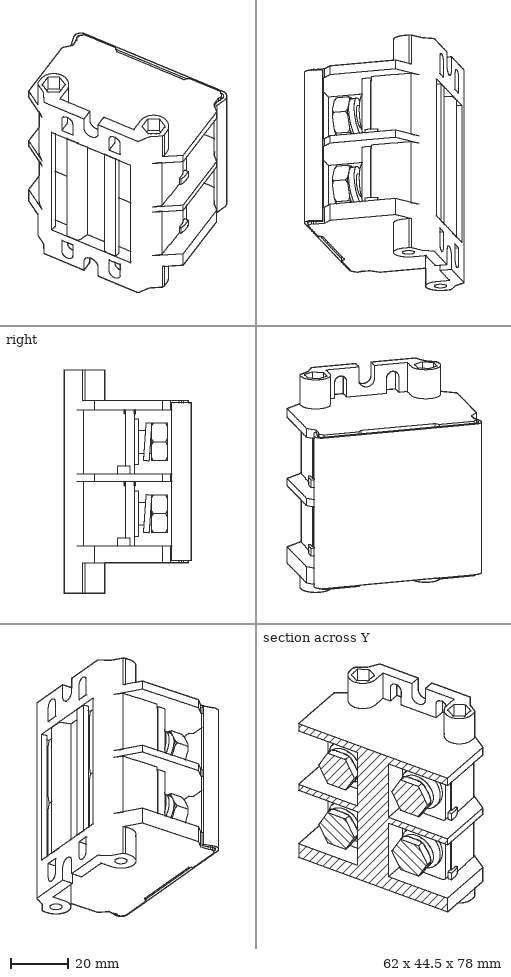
import cadquery as cq
import math

LENGTH = 78.0
HALF_WIDTH = 31.0
COVER_TOP = 44.5

WALL_END = 28.35
TOP_WALL_INNER = 25.1
MID_WALL_BOTTOM = 0.0
MID_WALL_TOP = 2.7
BOTTOM_WALL_INNER = -22.4
POLE_FLOORS = (BOTTOM_WALL_INNER, MID_WALL_TOP)
POLE_HEIGHT = TOP_WALL_INNER - MID_WALL_TOP

FOOT_THICKNESS = 4.2
TOE_X = 18.9
KNEE = (21.2, 3.9)
KNEE_RADIUS = 1.8
TOE_RADIUS = 0.7
SHOULDER_Y = 10.6
FLANK_SLOPE = (SHOULDER_Y - KNEE[1]) / (HALF_WIDTH - KNEE[0])
CORE_HALF = 24.7
FOOT_SHOULDER_X = 22.2
CORE_FLANK_RECESS = 0.5
CORE_STEP = 0.2
CORE_STEP_LOW, CORE_STEP_HIGH = 11.8, 12.6
SPINE_HALF = 6.5

WALL_CORNER_Y = 34.3
NECK_HALF = 28.35
NECK_Y = 37.1
BEAD_HALF = 28.75
BEAD_LOW, BEAD_MID, BEAD_HIGH = 40.2, 41.0, 41.8
WALL_TOP_HALF = 27.4
RECESS_TOP_HALF = 14.7
RECESS_FLOOR_HALF = 13.5
RECESS_FLOOR_Y = 42.0

COVER_THICKNESS = 1.1
COVER_HALF_LENGTH = 27.6
COVER_UNDERSIDE = COVER_TOP - COVER_THICKNESS
COVER_HALF = 30.4
COVER_BEND_RADIUS = 2.6
HOOK_LEAN = math.radians(16)
HOOK_TIP_Y = 37.6

POST_X = 20.05
POST_Y = 9.0
POST_FLANK_END_X = 25.0
POST_BEND_Y = 7.3
POST_RADIUS = 5.25
POST_HOLE_DIAMETER = 4.2
NUT_ACROSS_FLATS = 7.0
NUT_POCKET_DEPTH = 6.0

NOTCH_WIDTH = 5.6
NOTCH_DEPTH = 7.6
SLOT_WIDTH = 4.4
SLOT_X = 9.5
SLOT_TOP = 36.2
WINDOW_HALF = 15.9
WINDOW_THROAT_HALF = 15.4
WINDOW_LIP = 2.0
UNDERCUT_INNER, UNDERCUT_OUTER = 7.5, 18.0

RAIL_RECESS = 0.15
RAIL_OUTER_TIP, RAIL_OUTER_ROOT = 9.8, 10.1
RAIL_INNER_TIP, RAIL_INNER_SHOULDER, RAIL_INNER_ROOT = 6.2, 4.6, 3.75
RAIL_EDGE_HEIGHT = 1.6

GROOVE_HALF = 3.0
GROOVE_DEPTH = 0.5

BAR_BOTTOM, BAR_TOP = 21.4, 24.6
BAR_HALF = 24.5
BAR_CORNER = 1.2
RELIEF_WIDTH = 0.35
RELIEF_HEIGHT = 1.4
SCREW_X = 15.2
SCREW_DIAMETER = 8.0
HEAD_ACROSS_FLATS = 13.0
HEAD_BOTTOM, HEAD_TOP = 30.5, 36.1
HEAD_CHAMFER = 0.6
FLAT_WASHER_DIAMETER, FLAT_WASHER_THICKNESS = 16.0, 1.4
SPRING_WASHER_DIAMETER, SPRING_WASHER_THICKNESS = 13.2, 2.0
SPRING_WASHER_MID = 29.2
SPRING_WASHER_TILT = 4.0

STOP_OUTER, STOP_SHOULDER = 26.0, 25.5
STOP_HIGH, STOP_MID, STOP_LOW = 23.1, 20.4, 18.6
STOP_HEIGHT = 2.8


def flank_y(x):
    """Height of the sloping flank at a given distance from the centre plane."""
    return KNEE[1] + FLANK_SLOPE * (x - KNEE[0])


def symmetric_prism(half_outline, z_low, z_high):
    """Extrude the +X half outline together with its mirror image."""
    mirrored = [(-x, y) for x, y in reversed(half_outline)]
    sketch = cq.Workplane("XY").workplane(offset=z_low).polyline(half_outline + mirrored).close()
    return sketch.extrude(z_high - z_low)


def box(x_range, y_range, z_range):
    """Axis-aligned box from its limits."""
    corner = (x_range[0], y_range[0], z_range[0])
    size = [high - low for low, high in (x_range, y_range, z_range)]
    return cq.Workplane("XY").box(*size, centered=False).translate(corner)


def fuse(parts):
    merged = parts[0]
    for part in parts[1:]:
        merged = merged.union(part)
    return merged


def hexagon_diameter(across_flats):
    return across_flats / math.cos(math.pi / 6)


FOOT_SHOULDER = (FOOT_SHOULDER_X, flank_y(FOOT_SHOULDER_X))


def foot():
    """Full-length foot with rounded knees and toes; the posts and core stand on it."""
    outline = [
        (TOE_X, 0), KNEE, FOOT_SHOULDER, (POST_X, FOOT_SHOULDER[1]), (POST_X, FOOT_THICKNESS),
    ]
    body = symmetric_prism(outline, -LENGTH / 2, LENGTH / 2)
    for radius, (x, y) in ((KNEE_RADIUS, KNEE), (TOE_RADIUS, (TOE_X, 0))):
        for side in (-1, 1):
            edge = cq.selectors.NearestToPointSelector((side * x, y, 0))
            body = body.edges("|Z").edges(edge).fillet(radius)
    return body


def core():
    """Body between the partition walls, with the spine that separates the screws."""
    upper_half = CORE_HALF + CORE_STEP
    outline = [
        (POST_X, FOOT_THICKNESS), (POST_X, FOOT_SHOULDER[1]), FOOT_SHOULDER,
        (CORE_HALF, flank_y(CORE_HALF) + CORE_FLANK_RECESS), (CORE_HALF, CORE_STEP_LOW),
        (upper_half, CORE_STEP_HIGH), (upper_half, BAR_BOTTOM),
        (SPINE_HALF, BAR_BOTTOM), (SPINE_HALF, RECESS_FLOOR_Y),
    ]
    return symmetric_prism(outline, -WALL_END, WALL_END)


def partition_wall(z_low, z_high):
    outline = [
        FOOT_SHOULDER, (HALF_WIDTH, SHOULDER_Y), (HALF_WIDTH, WALL_CORNER_Y),
        (NECK_HALF, NECK_Y), (NECK_HALF, BEAD_LOW), (BEAD_HALF, BEAD_MID), (BEAD_HALF, BEAD_HIGH),
        (WALL_TOP_HALF, COVER_UNDERSIDE), (RECESS_TOP_HALF, COVER_UNDERSIDE),
        (RECESS_FLOOR_HALF, RECESS_FLOOR_Y),
    ]
    return symmetric_prism(outline, z_low, z_high)


def screw_posts(z_low, z_high):
    """Two round-topped screw posts beyond an end wall."""
    post_outer = POST_X + POST_RADIUS
    post_inner = POST_X - POST_RADIUS
    post = (
        cq.Workplane("XY").workplane(offset=z_low).moveTo(*FOOT_SHOULDER)
        .lineTo(POST_FLANK_END_X, flank_y(POST_FLANK_END_X))
        .lineTo(post_outer, POST_BEND_Y).lineTo(post_outer, POST_Y)
        .threePointArc((POST_X, POST_Y + POST_RADIUS), (post_inner, POST_Y))
        .lineTo(post_inner, FOOT_THICKNESS).lineTo(POST_X, FOOT_THICKNESS)
        .lineTo(POST_X, FOOT_SHOULDER[1]).close()
        .extrude(z_high - z_low)
    )
    return post.union(post.mirror("YZ"))


def post_holes():
    """Through holes in the posts with hexagonal nut pockets at the +Z end."""
    centres = [(-POST_X, POST_Y), (POST_X, POST_Y)]
    bores = (
        cq.Workplane("XY").workplane(offset=-LENGTH / 2).pushPoints(centres)
        .circle(POST_HOLE_DIAMETER / 2).extrude(LENGTH)
    )
    pocket = (
        cq.Workplane("XY").polygon(6, hexagon_diameter(NUT_ACROSS_FLATS)).extrude(NUT_POCKET_DEPTH)
        .rotate((0, 0, 0), (0, 0, 1), 30)
    )
    for x, y in centres:
        bores = bores.union(pocket.translate((x, y, LENGTH / 2 - NUT_POCKET_DEPTH)))
    return bores


def round_ended_cutter(x, width, square_end, round_end):
    """Cutter through the foot: square at one Z limit, full round at the other."""
    radius = width / 2
    centre = round_end + math.copysign(radius, square_end - round_end)
    return (
        cq.Workplane("XZ").moveTo(x - radius, square_end).lineTo(x - radius, centre)
        .threePointArc((x, round_end), (x + radius, centre)).lineTo(x + radius, square_end).close()
        .extrude(-FOOT_THICKNESS)
    )


def foot_openings():
    """Centre notch and two mounting slots at each end of the foot."""
    end = LENGTH / 2
    cutters = []
    for side in (-1, 1):
        cutters.append(round_ended_cutter(0, NOTCH_WIDTH, side * end, side * (end - NOTCH_DEPTH)))
        for x in (-SLOT_X, SLOT_X):
            cutters.append(round_ended_cutter(x, SLOT_WIDTH, side * WALL_END, side * SLOT_TOP))
    return fuse(cutters)


def window():
    """Recess in the foot: drafted opening, then an undercut behind the lips."""
    outline = [
        (WINDOW_HALF, 0), (WINDOW_THROAT_HALF, WINDOW_LIP),
        (UNDERCUT_OUTER, WINDOW_LIP), (UNDERCUT_OUTER, FOOT_THICKNESS),
    ]
    return symmetric_prism(outline, -TOP_WALL_INNER, TOP_WALL_INNER)


def floor_grooves():
    """V grooves at mid-length and at both window ends, across both undercuts."""
    floor = FOOT_THICKNESS
    deep = floor + GROOVE_DEPTH
    end = TOP_WALL_INNER
    outlines = [[(floor, -GROOVE_HALF), (deep, 0), (floor, GROOVE_HALF)]]
    for side in (-1, 1):
        outlines.append([(floor, side * (end - GROOVE_HALF)), (deep, side * end), (floor, side * end)])
    cutters = []
    for start in (-UNDERCUT_OUTER, UNDERCUT_INNER):
        for outline in outlines:
            groove = cq.Workplane("YZ").workplane(offset=start).polyline(outline).close()
            cutters.append(groove.extrude(UNDERCUT_OUTER - UNDERCUT_INNER))
    return fuse(cutters)


def rails():
    """Pair of mirrored rails: rounded inner edge, outer lip overhanging the undercut."""
    shoulder_y = RAIL_RECESS + RAIL_EDGE_HEIGHT
    arc_mid = (
        RAIL_INNER_TIP - (RAIL_INNER_TIP - RAIL_INNER_SHOULDER) * math.sin(math.pi / 4),
        shoulder_y - RAIL_EDGE_HEIGHT * math.sin(math.pi / 4),
    )
    rail = (
        cq.Workplane("XY").workplane(offset=-TOP_WALL_INNER).moveTo(RAIL_OUTER_TIP, RAIL_RECESS)
        .lineTo(RAIL_OUTER_ROOT, WINDOW_LIP).lineTo(UNDERCUT_INNER, WINDOW_LIP)
        .lineTo(UNDERCUT_INNER, FOOT_THICKNESS).lineTo(RAIL_INNER_ROOT, FOOT_THICKNESS)
        .lineTo(RAIL_INNER_SHOULDER, shoulder_y)
        .threePointArc(arc_mid, (RAIL_INNER_TIP, RAIL_RECESS)).close()
        .extrude(2 * TOP_WALL_INNER)
    )
    return rail.union(rail.mirror("YZ"))


def bar_passage(floor_z):
    """Opening for a terminal bar, with relief grooves along its top corners."""
    reach = (-CORE_HALF - CORE_STEP, CORE_HALF + CORE_STEP)
    top = floor_z + POLE_HEIGHT
    passage = box(reach, (BAR_BOTTOM, BAR_TOP), (floor_z, top))
    relief_y = (BAR_BOTTOM - RELIEF_WIDTH, BAR_TOP + RELIEF_WIDTH)
    return passage.union(box(reach, relief_y, (top - RELIEF_HEIGHT, top)))


def bar_stops(floor_z):
    """Stops standing on the wall in front of both bar ends."""
    root = BAR_HALF
    outline = [
        (root, STOP_HIGH), (STOP_OUTER, STOP_HIGH), (STOP_OUTER, STOP_MID),
        (STOP_SHOULDER, STOP_LOW), (root, STOP_LOW),
    ]
    stop = cq.Workplane("XY").workplane(offset=floor_z).polyline(outline).close().extrude(STOP_HEIGHT)
    return stop.union(stop.mirror("YZ"))


def cover():
    """Sheet cover whose bent sides end in inward-leaning hooks."""
    bend_x = COVER_HALF - COVER_BEND_RADIUS
    bend_y = COVER_TOP - COVER_BEND_RADIUS
    middle = (math.pi / 2 - HOOK_LEAN) / 2
    inner_radius = COVER_BEND_RADIUS - COVER_THICKNESS

    def bend_point(side, radius, angle):
        return (side * (bend_x + radius * math.cos(angle)), bend_y + radius * math.sin(angle))

    def tip_point(side, radius):
        x, y = bend_point(1, radius, -HOOK_LEAN)
        return (side * (x - (y - HOOK_TIP_Y) * math.tan(HOOK_LEAN)), HOOK_TIP_Y)

    outer, inner = COVER_BEND_RADIUS, inner_radius
    top = math.pi / 2
    return (
        cq.Workplane("XY").workplane(offset=-COVER_HALF_LENGTH)
        .moveTo(*bend_point(-1, outer, top)).lineTo(*bend_point(1, outer, top))
        .threePointArc(bend_point(1, outer, middle), bend_point(1, outer, -HOOK_LEAN))
        .lineTo(*tip_point(1, outer)).lineTo(*tip_point(1, inner))
        .lineTo(*bend_point(1, inner, -HOOK_LEAN))
        .threePointArc(bend_point(1, inner, middle), bend_point(1, inner, top))
        .lineTo(*bend_point(-1, inner, top))
        .threePointArc(bend_point(-1, inner, middle), bend_point(-1, inner, -HOOK_LEAN))
        .lineTo(*tip_point(-1, inner)).lineTo(*tip_point(-1, outer))
        .lineTo(*bend_point(-1, outer, -HOOK_LEAN))
        .threePointArc(bend_point(-1, outer, middle), bend_point(-1, outer, top)).close()
        .extrude(2 * COVER_HALF_LENGTH)
    )


def make_housing():
    body = foot().union(core())
    for z_low, z_high in (
        (-WALL_END, BOTTOM_WALL_INNER), (MID_WALL_BOTTOM, MID_WALL_TOP), (TOP_WALL_INNER, WALL_END),
    ):
        body = body.union(partition_wall(z_low, z_high))
    for z_low, z_high in ((-LENGTH / 2, -WALL_END), (WALL_END, LENGTH / 2)):
        body = body.union(screw_posts(z_low, z_high))
    body = body.cut(post_holes()).cut(foot_openings()).cut(window()).cut(floor_grooves())
    body = body.union(rails())
    for floor_z in POLE_FLOORS:
        body = body.cut(bar_passage(floor_z)).union(bar_stops(floor_z))
    return body.union(cover())


def cylinder_along_y(diameter, y_low, y_high):
    return cq.Workplane("XZ").workplane(offset=-y_low).circle(diameter / 2).extrude(y_low - y_high)


def make_screw():
    """Hexagon screw with spring washer and flat washer, axis along Y through the origin."""
    head = (
        cq.Workplane("XZ").workplane(offset=-HEAD_BOTTOM)
        .polygon(6, hexagon_diameter(HEAD_ACROSS_FLATS)).extrude(HEAD_BOTTOM - HEAD_TOP)
    )
    head_blank = cylinder_along_y(hexagon_diameter(HEAD_ACROSS_FLATS), HEAD_BOTTOM, HEAD_TOP)
    head = head.intersect(head_blank.faces("<Y or >Y").chamfer(HEAD_CHAMFER))
    shank = cylinder_along_y(SCREW_DIAMETER, BAR_TOP, HEAD_BOTTOM)
    flat_washer = cylinder_along_y(FLAT_WASHER_DIAMETER, BAR_TOP, BAR_TOP + FLAT_WASHER_THICKNESS)
    half_thickness = SPRING_WASHER_THICKNESS / 2
    spring_washer = (
        cylinder_along_y(SPRING_WASHER_DIAMETER, -half_thickness, half_thickness)
        .rotate((0, 0, 0), (1, 0, 0), -SPRING_WASHER_TILT).translate((0, SPRING_WASHER_MID, 0))
    )
    return shank.union(head).union(flat_washer).union(spring_washer)


def make_terminal(floor_z):
    """Bar spanning the housing with a screw at each end."""
    bar = box((-BAR_HALF, BAR_HALF), (BAR_BOTTOM, BAR_TOP), (floor_z, floor_z + POLE_HEIGHT))
    bar = bar.edges("|Y").fillet(BAR_CORNER)
    screw = make_screw()
    for x in (-SCREW_X, SCREW_X):
        bar = bar.union(screw.translate((x, 0, floor_z + POLE_HEIGHT / 2)))
    return bar


housing = make_housing()
terminals = [make_terminal(floor_z) for floor_z in POLE_FLOORS]

result = cq.Compound.makeCompound(
    [housing.solids().val(), *[terminal.solids().val() for terminal in terminals]]
)